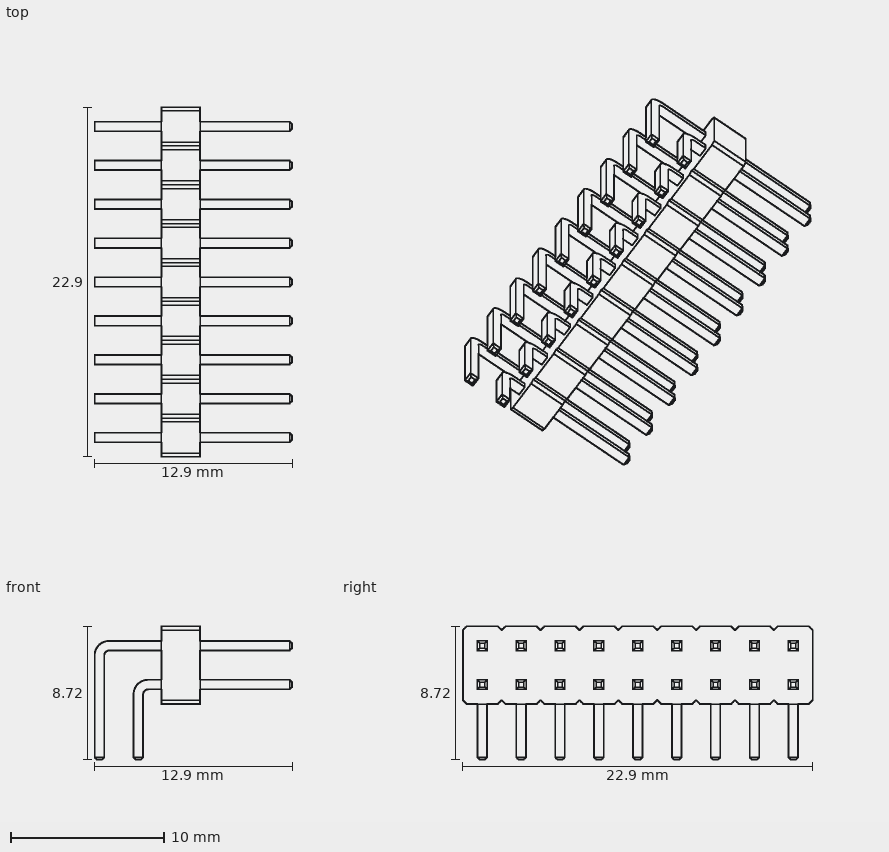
import cadquery as cq


pitch = 2.54
row_count = 2
pins_per_row = 9
pin_width = 0.64
bend_inner_radius = pin_width / 2
tip_chamfer = pin_width / 4
housing_chamfer = 0.25
mating_length = 6.0
outer_pin_overall_x = 12.9
overall_height = 8.72

housing_depth = pitch
housing_height = row_count * pitch
bend_outer_radius = bend_inner_radius + pin_width
mating_tip_x = housing_depth / 2 + mating_length
outer_leg_x = mating_tip_x - outer_pin_overall_x
leg_tip_z = housing_height / 2 - overall_height


def centred_positions(count):
    """Positions spaced by the pitch and centred on zero."""
    return [(index - (count - 1) / 2) * pitch for index in range(count)]


def make_housing_cell():
    """One pitch of the housing: a block with its four X-direction edges chamfered."""
    return (
        cq.Workplane("XY")
        .box(housing_depth, pitch, housing_height)
        .edges("|X")
        .chamfer(housing_chamfer)
    )


def make_pin(leg_x, top_z):
    """Bent pin centred on Y = 0; leg_x is its outermost X and top_z its highest Z."""
    leg_inner_x = leg_x + pin_width
    arm_underside_z = top_z - pin_width
    bend_centre_x = leg_x + bend_outer_radius
    bend_centre_z = top_z - bend_outer_radius

    return (
        cq.Workplane("XZ")
        .moveTo(leg_x, leg_tip_z)
        .lineTo(leg_x, bend_centre_z)
        .radiusArc((bend_centre_x, top_z), bend_outer_radius)
        .lineTo(mating_tip_x, top_z)
        .lineTo(mating_tip_x, arm_underside_z)
        .lineTo(bend_centre_x, arm_underside_z)
        .radiusArc((leg_inner_x, bend_centre_z), -bend_inner_radius)
        .lineTo(leg_inner_x, leg_tip_z)
        .close()
        .extrude(pin_width / 2, both=True)
        .faces(">X or <Z")
        .chamfer(tip_chamfer)
    )


def make_header():
    """Housing cells joined side by side, with one pin per row through each cell."""
    header = cq.Workplane("XY")
    upper_row_z = max(centred_positions(row_count))

    for y in centred_positions(pins_per_row):
        header = header.union(make_housing_cell().translate((0, y, 0)))
        for row_z in centred_positions(row_count):
            leg_x = outer_leg_x + upper_row_z - row_z
            pin = make_pin(leg_x, row_z + pin_width / 2)
            header = header.union(pin.translate((0, y, 0)))
    return header.clean()


result = make_header()